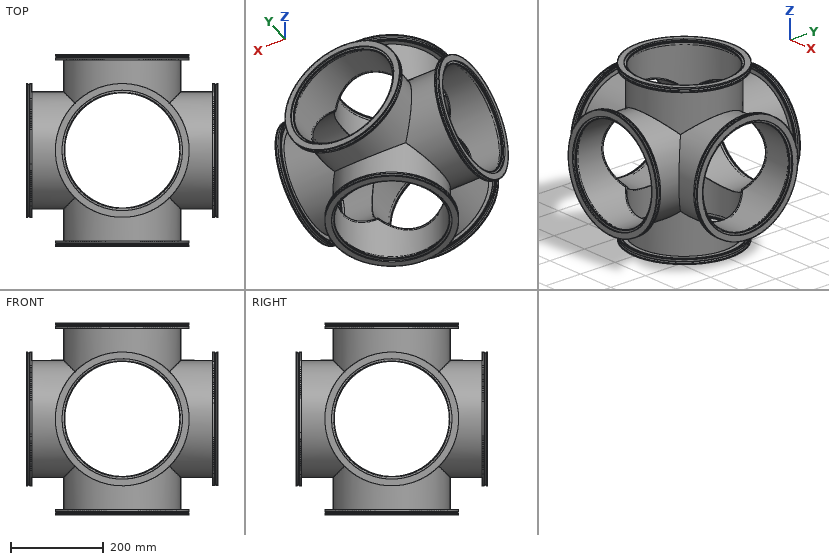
import cadquery as cq
SPAN = 416.0
FACE_DISTANCE = SPAN / 2

TUBE_OUTER_RADIUS = 127.5
TUBE_INNER_RADIUS = 125.0
TUBE_END_SETBACK = 6.2

FLANGE_RADIUS = 145.0
FLANGE_THICKNESS = 12.0
RECESS_RADIUS = 130.5
RECESS_DEPTH = 3.5
LIP_RADIUS = 125.5

FRONT_LAND = 3.0
RIM_GROOVE_DEPTH = 2.5
RIM_GROOVE_WIDTH = 4.5

BACK_GROOVE_INNER_RADIUS = 137.5
BACK_GROOVE_WIDTH = 5.0
BACK_GROOVE_DEPTH = 1.5

PORT_DIRECTIONS = [
    (1, 0, 0), (-1, 0, 0),
    (0, 1, 0), (0, -1, 0),
    (0, 0, 1), (0, 0, -1),
]


def make_port_plane(direction):
    """Plane through the origin with local x across the port and local y along it."""
    along = cq.Vector(*direction)
    across = cq.Vector(direction[1], direction[2], direction[0])
    return cq.Plane(origin=(0, 0, 0), xDir=across, normal=across.cross(along))


def make_crossing_rods(radius, length):
    """Three solid rods along X, Y and Z, joined where they cross at the origin."""
    rods = cq.Workplane("XY")
    for plane_name in ("YZ", "XZ", "XY"):
        rods = rods.union(cq.Workplane(plane_name).circle(radius).extrude(length / 2, both=True))
    return rods


def make_cross_tube():
    """Three crossing tubes joined into one hollow six-way body."""
    outside = make_crossing_rods(TUBE_OUTER_RADIUS, SPAN - 2 * TUBE_END_SETBACK)
    bores = make_crossing_rods(TUBE_INNER_RADIUS, SPAN)
    return outside.cut(bores)


def make_flange(direction):
    """Grooved ring around one tube end, with a lip that covers the end of the tube."""
    back = FACE_DISTANCE - FLANGE_THICKNESS
    shoulder = FACE_DISTANCE - TUBE_END_SETBACK
    recess_floor = FACE_DISTANCE - RECESS_DEPTH
    rim_groove_front = FACE_DISTANCE - FRONT_LAND
    rim_groove_back = rim_groove_front - RIM_GROOVE_WIDTH
    rim_groove_middle = rim_groove_front - RIM_GROOVE_WIDTH / 2
    rim_groove_radius = FLANGE_RADIUS - RIM_GROOVE_DEPTH
    back_groove_outer_radius = BACK_GROOVE_INNER_RADIUS + BACK_GROOVE_WIDTH
    back_groove_floor = back + BACK_GROOVE_DEPTH

    section = [
        (TUBE_OUTER_RADIUS, shoulder),
        (TUBE_OUTER_RADIUS, back),
        (BACK_GROOVE_INNER_RADIUS, back),
        (BACK_GROOVE_INNER_RADIUS, back_groove_floor),
        (back_groove_outer_radius, back_groove_floor),
        (back_groove_outer_radius, back),
        (FLANGE_RADIUS, back),
        (FLANGE_RADIUS, rim_groove_back),
        (rim_groove_radius, rim_groove_middle),
        (FLANGE_RADIUS, rim_groove_front),
        (FLANGE_RADIUS, FACE_DISTANCE),
        (RECESS_RADIUS, FACE_DISTANCE),
        (RECESS_RADIUS, recess_floor),
        (LIP_RADIUS, recess_floor),
        (LIP_RADIUS, shoulder),
    ]
    profile = cq.Workplane(make_port_plane(direction)).polyline(section).close()
    return profile.revolve(360, (0, 0), (0, 1))


cross_tube = make_cross_tube()
flanges = [make_flange(direction).val() for direction in PORT_DIRECTIONS]

result = cq.Compound.makeCompound([cross_tube.val(), *flanges])